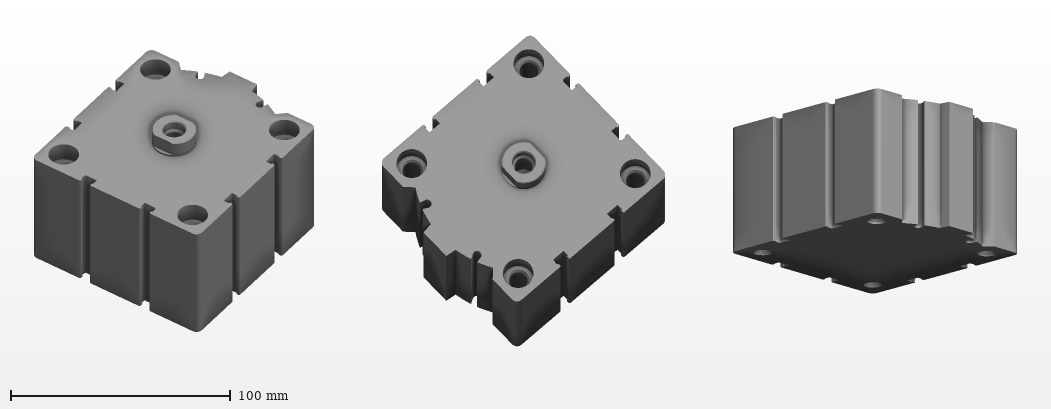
import cadquery as cq
import math

WIDTH = 93.0
HALF = WIDTH / 2
HEIGHT = 59.0
CORNER_RADIUS = 3.0

CROWN_RADIUS = 50.0
SHOULDER_X = 30.3
KEY_TOP_Y = HALF + 8.0
KEY_TOP_HALF_WIDTH = 7.7
KEY_BASE_HALF_WIDTH = 8.4

SLOT_OFFSET = 16.6
SLOT_NECK_WIDTH = 5.2
SLOT_WIDTH = 6.5
SLOT_LIP = 1.7
SLOT_DEPTH = 4.7
SLOT_CORNER_RADIUS = 0.9
SLOT_MOUTH_CHAMFER = 0.4

GROOVE_ANGLE = 21.0
GROOVE_CENTRE_RADIUS = 47.0
GROOVE_RADIUS = 2.0
GROOVE_MOUTH_HALF_WIDTH = 1.5
GROOVE_MOUTH_RADIUS = CROWN_RADIUS + 0.5

BOLT_PITCH = 72.0
BOLT_HOLE_DIAMETER = 8.5
BOLT_COUNTERSINK_DIAMETER = 10.5
BOLT_COUNTERBORE_DIAMETER = 14.0
BOLT_COUNTERBORE_DEPTH = 9.0

ROD_DIAMETER = 20.0
ROD_TOP = HEIGHT + 8.0
ROD_BOTTOM = 30.0
ROD_CHAMFER = 0.4
FLATS_ACROSS = 17.0
FLATS_BOTTOM = HEIGHT + 1.0
ROD_BORE_MOUTH_DIAMETER = 11.5
ROD_BORE_DIAMETER = 10.4
ROD_BORE_DEPTH = 4.5
ROD_DRILL_DIAMETER = 8.38
ROD_DRILL_DEPTH = 20.0
DRILL_POINT_ANGLE = 118.0


def block_profile():
    """Square outline with the crown arc and the key on its +Y side."""
    relief_offset = HALF - SHOULDER_X
    valley_x = (math.sqrt(2 * CROWN_RADIUS**2 - relief_offset**2) - relief_offset) / 2
    valley_y = valley_x + relief_offset
    key_base_y = math.sqrt(CROWN_RADIUS**2 - KEY_BASE_HALF_WIDTH**2)
    mid_angle = (math.atan2(valley_x, valley_y) + math.atan2(KEY_BASE_HALF_WIDTH, key_base_y)) / 2
    mid_x = CROWN_RADIUS * math.sin(mid_angle)
    mid_y = CROWN_RADIUS * math.cos(mid_angle)
    return (
        cq.Workplane("XY")
        .moveTo(-HALF, -HALF)
        .lineTo(HALF, -HALF)
        .lineTo(HALF, HALF)
        .lineTo(SHOULDER_X, HALF)
        .lineTo(valley_x, valley_y)
        .threePointArc((mid_x, mid_y), (KEY_BASE_HALF_WIDTH, key_base_y))
        .lineTo(KEY_TOP_HALF_WIDTH, KEY_TOP_Y)
        .lineTo(-KEY_TOP_HALF_WIDTH, KEY_TOP_Y)
        .lineTo(-KEY_BASE_HALF_WIDTH, key_base_y)
        .threePointArc((-mid_x, mid_y), (-valley_x, valley_y))
        .lineTo(-SHOULDER_X, HALF)
        .lineTo(-HALF, HALF)
        .close()
    )


def sensor_slot(offset):
    """T-slot cutter with a chamfered mouth for the -Y face, centred at X = offset."""
    neck_x = SLOT_NECK_WIDTH / 2
    pocket_x = SLOT_WIDTH / 2
    mouth_x = neck_x + SLOT_MOUTH_CHAMFER
    return (
        cq.Workplane("XY")
        .center(offset, -HALF)
        .polyline([
            (-mouth_x, 0),
            (-neck_x, SLOT_MOUTH_CHAMFER),
            (-neck_x, SLOT_LIP),
            (-pocket_x, SLOT_LIP),
            (-pocket_x, SLOT_DEPTH),
            (pocket_x, SLOT_DEPTH),
            (pocket_x, SLOT_LIP),
            (neck_x, SLOT_LIP),
            (neck_x, SLOT_MOUTH_CHAMFER),
            (mouth_x, 0),
        ])
        .close()
        .extrude(HEIGHT)
    )


def rounded_slot(offset):
    """Sensor slot whose bottom corner away from the centre line is rounded."""
    outer_side = "<X" if offset < 0 else ">X"
    return sensor_slot(offset).faces(outer_side).edges(">Y").fillet(SLOT_CORNER_RADIUS)


def crown_groove(angle):
    """Round groove with a narrowing mouth, turned by angle from +Y about the rod axis."""
    bore = cq.Workplane("XY").center(0, GROOVE_CENTRE_RADIUS).circle(GROOVE_RADIUS).extrude(HEIGHT)
    mouth = (
        cq.Workplane("XY")
        .polyline([
            (-GROOVE_RADIUS, GROOVE_CENTRE_RADIUS),
            (GROOVE_RADIUS, GROOVE_CENTRE_RADIUS),
            (GROOVE_MOUTH_HALF_WIDTH, GROOVE_MOUTH_RADIUS),
            (-GROOVE_MOUTH_HALF_WIDTH, GROOVE_MOUTH_RADIUS),
        ])
        .close()
        .extrude(HEIGHT)
    )
    return bore.union(mouth).rotate((0, 0, 0), (0, 0, 1), angle)


def bolt_hole():
    """Through hole with a counterbore at the top and a 45 degree countersink on the ledge."""
    hole_radius = BOLT_HOLE_DIAMETER / 2
    sink_radius = BOLT_COUNTERSINK_DIAMETER / 2
    bore_radius = BOLT_COUNTERBORE_DIAMETER / 2
    ledge_z = HEIGHT - BOLT_COUNTERBORE_DEPTH
    return (
        cq.Workplane("XZ")
        .polyline([
            (0, 0),
            (hole_radius, 0),
            (hole_radius, ledge_z - (sink_radius - hole_radius)),
            (sink_radius, ledge_z),
            (bore_radius, ledge_z),
            (bore_radius, HEIGHT),
            (0, HEIGHT),
        ])
        .close()
        .revolve(360, (0, 0, 0), (0, 1, 0))
    )


def make_housing():
    housing = block_profile().extrude(HEIGHT)
    for x in (-HALF, HALF):
        for y in (-HALF, HALF):
            corner = cq.selectors.NearestToPointSelector((x, y, HEIGHT / 2))
            housing = housing.edges(corner).fillet(CORNER_RADIUS)
    for offset in (-SLOT_OFFSET, SLOT_OFFSET):
        housing = housing.cut(rounded_slot(offset))
        for face_angle in (-90, 90):
            housing = housing.cut(sensor_slot(offset).rotate((0, 0, 0), (0, 0, 1), face_angle))
    for angle in (-GROOVE_ANGLE, GROOVE_ANGLE):
        housing = housing.cut(crown_groove(angle))
    for x in (-BOLT_PITCH / 2, BOLT_PITCH / 2):
        for y in (-BOLT_PITCH / 2, BOLT_PITCH / 2):
            housing = housing.cut(bolt_hole().translate((x, y, 0)))
    rod_seat = (
        cq.Workplane("XY")
        .workplane(offset=ROD_BOTTOM)
        .circle(ROD_DIAMETER / 2)
        .extrude(HEIGHT - ROD_BOTTOM)
    )
    return housing.cut(rod_seat)


def rod_hole():
    """Stepped blind hole: chamfered mouth, bore, 45 degree step, drilled hole with a conical end."""
    mouth_radius = ROD_BORE_MOUTH_DIAMETER / 2
    bore_radius = ROD_BORE_DIAMETER / 2
    drill_radius = ROD_DRILL_DIAMETER / 2
    bore_end = ROD_TOP - ROD_BORE_DEPTH
    drill_end = ROD_TOP - ROD_DRILL_DEPTH
    point_length = drill_radius / math.tan(math.radians(DRILL_POINT_ANGLE / 2))
    return (
        cq.Workplane("XZ")
        .polyline([
            (0, ROD_TOP),
            (mouth_radius, ROD_TOP),
            (bore_radius, ROD_TOP - (mouth_radius - bore_radius)),
            (bore_radius, bore_end),
            (drill_radius, bore_end - (bore_radius - drill_radius)),
            (drill_radius, drill_end),
            (0, drill_end - point_length),
        ])
        .close()
        .revolve(360, (0, 0, 0), (0, 1, 0))
    )


def make_rod():
    rod = (
        cq.Workplane("XY")
        .workplane(offset=ROD_BOTTOM)
        .circle(ROD_DIAMETER / 2)
        .extrude(ROD_TOP - ROD_BOTTOM)
        .faces(">Z")
        .chamfer(ROD_CHAMFER)
    )
    flat_cut = (ROD_DIAMETER - FLATS_ACROSS) / 2
    for side in (-1, 1):
        flat = (
            cq.Workplane("XY")
            .workplane(offset=FLATS_BOTTOM)
            .center(0, side * (FLATS_ACROSS + flat_cut) / 2)
            .rect(ROD_DIAMETER, flat_cut)
            .extrude(ROD_TOP - FLATS_BOTTOM)
        )
        rod = rod.cut(flat)
    return rod.cut(rod_hole())


housing = make_housing()
rod = make_rod()

result = cq.Compound.makeCompound([housing.val(), rod.val()])